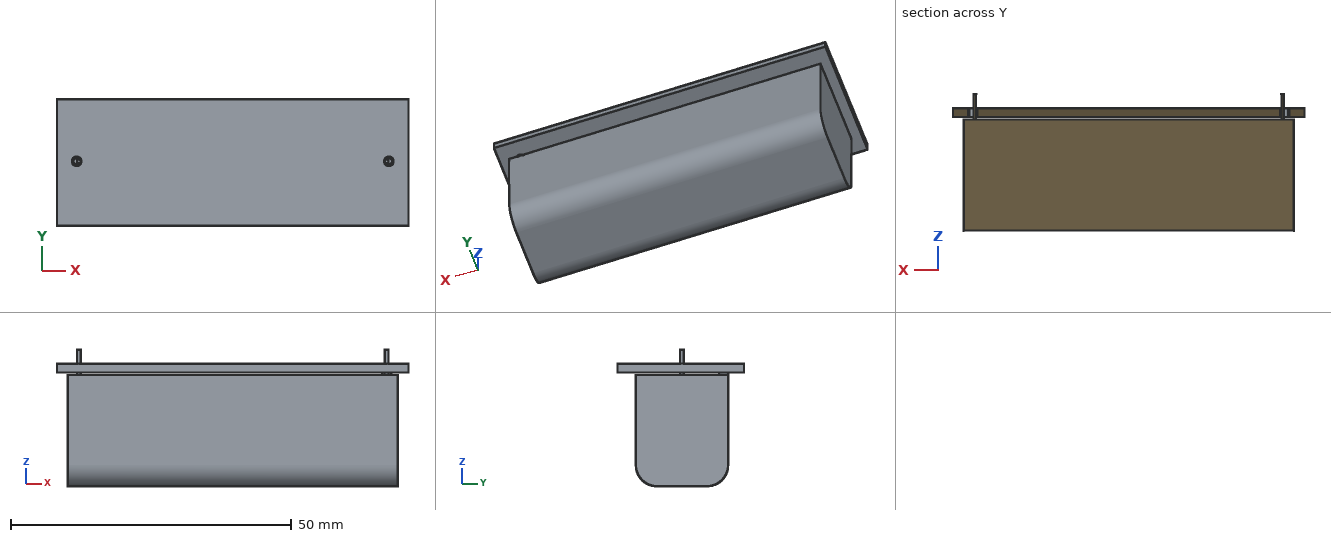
import cadquery as cq

housing_length = 58.93
housing_width = 16.51
housing_height = 19.90
housing_corner_radius = 3.81
air_gap = 0.38
plate_length = 62.74
plate_width = 22.61
plate_thickness = 1.60
pin_protrusion = 2.50

plate_top = plate_thickness
housing_top = -air_gap
housing_bottom = housing_top - housing_height
pin_top = plate_top + pin_protrusion

center_line_y = 0.22

pin_diameter = 0.71
pin_spacing = 54.9
sleeve_outer_diameter = 1.67
sleeve_bore = 1.17
sleeve_spacing = 55.7

standoff_diameter = 1.67
standoff_x = pin_spacing / 2
standoff_y = center_line_y + (housing_width - standoff_diameter) / 2

ends = (-1, 1)


def cylinder(diameter, x, y, bottom, top):
    return cq.Workplane("XY", origin=(x, y, bottom)).circle(diameter / 2).extrude(top - bottom)


def make_housing():
    block = cq.Workplane("XY", origin=(0, center_line_y, housing_bottom)).box(
        housing_length, housing_width, housing_height, centered=(True, True, False)
    )
    return block.edges("|X and <Z").fillet(housing_corner_radius)


def make_pin(end):
    return cylinder(pin_diameter, end * pin_spacing / 2, center_line_y, housing_top, pin_top)


def make_plate():
    plate = cq.Workplane("XY").box(
        plate_length, plate_width, plate_thickness, centered=(True, True, False)
    )
    for end in ends:
        hole_x = end * sleeve_spacing / 2
        plate = plate.cut(cylinder(sleeve_outer_diameter, hole_x, center_line_y, 0, plate_top))
    return plate


def make_sleeve(end):
    x = end * sleeve_spacing / 2
    sleeve = cylinder(sleeve_outer_diameter, x, center_line_y, 0, plate_top)
    sleeve = sleeve.cut(cylinder(sleeve_bore, x, center_line_y, 0, plate_top))
    return sleeve.cut(make_pin(end))


def make_standoff():
    return cylinder(standoff_diameter, standoff_x, standoff_y, housing_top, 0)


housing = make_housing()
plate = make_plate()
pins = [make_pin(end) for end in ends]
sleeves = [make_sleeve(end) for end in ends]
standoff = make_standoff()

result = cq.Compound.makeCompound(
    [
        housing.val(),
        plate.val(),
        *[pin.val() for pin in pins],
        *[sleeve.val() for sleeve in sleeves],
        standoff.val(),
    ]
)